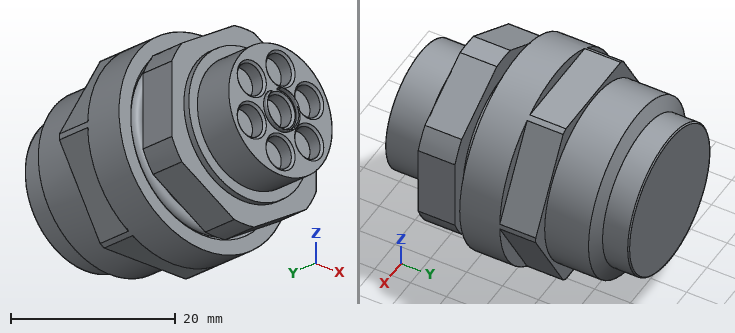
import cadquery as cq
import math

overall_length = 35.3
flange_diameter = 28.4

collar_diameter = 20.2
collar_chamfer = 0.18
collar_end = 3.67
housing_diameter = 24.0
housing_cone_end = 4.55
wrench_start = 10.65
wrench_across_flats = 25.0
flange_start = 15.67
flange_end = 21.25

seal_tube_diameter = 1.87
seal_protrusion = 0.32
seal_squeeze = 0.05
groove_mouth_diameter = 24.57

neck_diameter = 20.0
neck_end = 29.15
nut_start = 23.15
nut_end = 28.28
nut_across_flats = 24.0
nut_corner_diameter = 26.0

insert_diameter = 17.2
insert_end = 34.75
outer_contact_count = 6
contact_circle_diameter = 11.0
contact_diameter = 4.2
contact_mouth_diameter = 4.85
contact_depth = 2.12

rim_outer_diameter = 5.6
rim_inner_diameter = 5.22
rim_gap_right_x = -0.55
rim_gap_bottom_z = 1.85

seal_centre_depth = seal_tube_diameter / 2 - seal_protrusion


def at_station(y):
    """Workplane facing -Y at distance y from the rear end; local +X is X, local +Y is Z."""
    return cq.Workplane("XZ", origin=(0, -y, 0))


def disc(diameter, start, end):
    return at_station(start).circle(diameter / 2).extrude(end - start)


def hexagon(across_flats, corner_diameter, start, end, turn):
    """Hexagonal prism whose corners are turned down to a round diameter."""
    point_diameter = across_flats / math.cos(math.pi / 6)
    prism = at_station(start).polygon(6, point_diameter).extrude(end - start)
    prism = prism.rotate((0, 0, 0), (0, 1, 0), turn)
    return prism.intersect(disc(corner_diameter, start, end))


def cone(start_diameter, end_diameter, start, end):
    """Truncated cone that changes diameter between two stations."""
    start_circle = at_station(start).circle(start_diameter / 2)
    return start_circle.workplane(offset=end - start).circle(end_diameter / 2).loft()


def housing():
    body = disc(collar_diameter, 0, collar_end).faces(">Y").chamfer(collar_chamfer)
    body = body.union(cone(collar_diameter, housing_diameter, collar_end, housing_cone_end))
    body = body.union(disc(housing_diameter, housing_cone_end, wrench_start))
    body = body.union(hexagon(wrench_across_flats, flange_diameter, wrench_start, flange_start, 0))
    return body.union(disc(flange_diameter, flange_start, flange_end))


def seal_groove():
    """Recess with a 45 degree wall, as deep as the centre of the seal section."""
    floor_diameter = groove_mouth_diameter - 2 * seal_centre_depth
    floor_station = flange_end - seal_centre_depth
    return cone(floor_diameter, groove_mouth_diameter, floor_station, flange_end)


def seal_ring():
    """Round-section ring hugging the neck and standing slightly proud of the flange face."""
    centre_radius = (neck_diameter + seal_tube_diameter) / 2 - seal_squeeze
    centre = cq.Vector(0, seal_centre_depth - flange_end, 0)
    torus = cq.Solid.makeTorus(centre_radius, seal_tube_diameter / 2, centre, cq.Vector(0, 1, 0))
    return cq.Workplane(obj=torus)


def neck_and_nut():
    neck = disc(neck_diameter, flange_end - seal_centre_depth, neck_end)
    return neck.union(hexagon(nut_across_flats, nut_corner_diameter, nut_start, nut_end, 30))


def contact_rim():
    """Open ring with a fully rounded crest."""
    outer_radius = rim_outer_diameter / 2
    inner_radius = rim_inner_diameter / 2
    crest_radius = (outer_radius - inner_radius) / 2
    shoulder_station = overall_length - crest_radius
    ring = (
        cq.Workplane("XY")
        .moveTo(inner_radius, -insert_end)
        .lineTo(inner_radius, -shoulder_station)
        .threePointArc((inner_radius + crest_radius, -overall_length), (outer_radius, -shoulder_station))
        .lineTo(outer_radius, -insert_end)
        .close()
        .revolve(360, (0, 0, 0), (0, 1, 0))
    )
    gap = (
        at_station(insert_end)
        .moveTo(rim_gap_right_x, rim_gap_bottom_z)
        .rect(-rim_outer_diameter, rim_outer_diameter, centered=False)
        .extrude(overall_length - insert_end)
    )
    return ring.cut(gap)


def contact_hole():
    """Blind round hole on the Y axis with a 45 degree mouth."""
    mouth_depth = (contact_mouth_diameter - contact_diameter) / 2
    mouth = cone(contact_diameter, contact_mouth_diameter, insert_end - mouth_depth, insert_end)
    return disc(contact_diameter, insert_end - contact_depth, insert_end).union(mouth)


result = housing().cut(seal_groove())
result = result.union(neck_and_nut()).union(seal_ring())
result = result.union(disc(insert_diameter, neck_end, insert_end)).union(contact_rim())

result = result.cut(contact_hole())
for index in range(outer_contact_count):
    angle = 360 / outer_contact_count * index
    outer_hole = contact_hole().translate((0, 0, contact_circle_diameter / 2))
    result = result.cut(outer_hole.rotate((0, 0, 0), (0, 1, 0), angle))